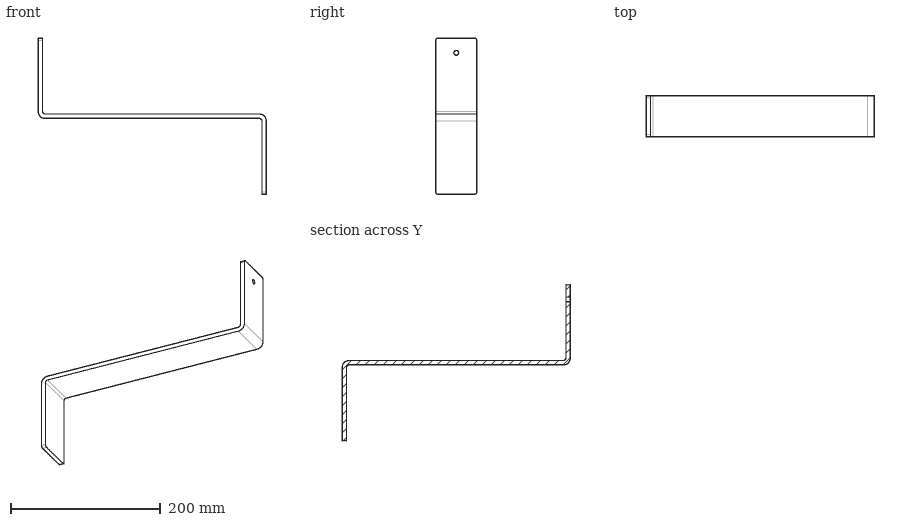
import cadquery as cq

length = 305.0
width = 55.0
height = 209.0

thickness = 6.0
inner_bend_radius = 3.0
outer_bend_radius = inner_bend_radius + thickness
corner_radius = 3.0

hole_diameter = 6.0
hole_below_top = 19.8

half_length = length / 2
half_height = height / 2
half_thickness = thickness / 2


def bent_strip():
    """Z profile in the XZ plane, extruded across the width with rounded bends."""
    profile = [
        (-half_length, half_height),
        (-half_length, -half_thickness),
        (half_length - thickness, -half_thickness),
        (half_length - thickness, -half_height),
        (half_length, -half_height),
        (half_length, half_thickness),
        (-half_length + thickness, half_thickness),
        (-half_length + thickness, half_height),
    ]
    strip = cq.Workplane("XZ").polyline(profile).close().extrude(width / 2, both=True)
    for side in (-1, 1):
        outer = (side * half_length, 0, side * half_thickness)
        inner = (side * (half_length - thickness), 0, -side * half_thickness)
        strip = strip.edges(cq.NearestToPointSelector(outer)).fillet(outer_bend_radius)
        strip = strip.edges(cq.NearestToPointSelector(inner)).fillet(inner_bend_radius)
    return strip


def mounting_hole():
    """Round hole through the upright flange only."""
    return (
        cq.Workplane("YZ", origin=(-half_length, 0, half_height - hole_below_top))
        .circle(hole_diameter / 2)
        .extrude(thickness)
    )


bracket = bent_strip().faces("<Z or >Z").edges("|X").fillet(corner_radius)
result = bracket.cut(mounting_hole())